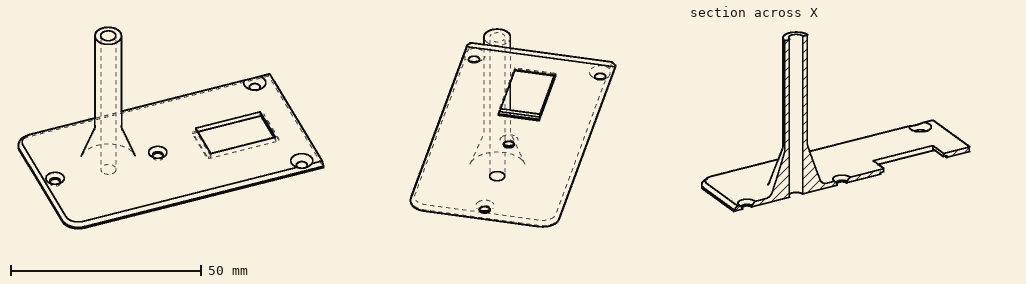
import cadquery as cq

plate_width = 40.0
plate_length = 72.0
plate_thickness = 1.5
edge_chamfer = 1.0
corner_radius = 4.5

window_width = 11.0
window_length = 18.2
window_rear_margin = 8.0
window_lip_thickness = 1.0
window_relief_depth = plate_thickness - window_lip_thickness
window_relief_reach = 1.0

screw_diameter = 2.8
corner_head_diameter = 5.8
corner_hole_x = 17.0
corner_hole_rear_margin = 5.0
centre_head_diameter = 4.8
centre_hole_ys = (4.0, 33.0)

stem_y = 19.0
stem_top = 46.0
stem_diameter = 7.0
bore_diameter = 4.0
foot_base_diameter = 15.75
foot_top = 13.9
foot_blend_radius = 2.0


def make_plate():
    """Flat plate with rounded front corners; every top edge but the rear one is chamfered."""
    plate = cq.Workplane("XY").box(
        plate_width, plate_length, plate_thickness, centered=(True, False, False)
    )
    plate = plate.edges("|Z and <Y").fillet(corner_radius)
    rim = plate.faces(">Z").edges("not >Y")
    return rim.chamfer(edge_chamfer)


def make_stem():
    """Solid of revolution: conical foot blended into the plate and into the straight stem."""
    stem_radius = stem_diameter / 2
    foot_radius = foot_base_diameter / 2
    flange_radius = foot_radius + 2 * foot_blend_radius
    profile = (
        cq.Workplane("XZ")
        .moveTo(0, 0)
        .lineTo(flange_radius, 0)
        .lineTo(flange_radius, plate_thickness)
        .lineTo(foot_radius, plate_thickness)
        .lineTo(stem_radius, foot_top)
        .lineTo(stem_radius, stem_top)
        .lineTo(0, stem_top)
        .close()
    )
    stem = profile.revolve(360, (0, 0, 0), (0, 1, 0))
    outer_margin = foot_blend_radius / 2
    ring_reach = flange_radius - outer_margin
    blended_rings = cq.selectors.BoxSelector(
        (-ring_reach, -ring_reach, plate_thickness / 2),
        (ring_reach, ring_reach, (foot_top + stem_top) / 2),
        boundingbox=True,
    )
    blended = stem.edges(blended_rings).edges("%CIRCLE").fillet(foot_blend_radius)
    return blended.translate((0, stem_y, 0))


def make_countersunk_hole(x, y, head_diameter):
    """Cutter for a through hole with a 90 degree conical seat opening at the top face."""
    screw_radius = screw_diameter / 2
    head_radius = head_diameter / 2
    seat_depth = head_radius - screw_radius
    shank = cq.Workplane("XY").circle(screw_radius).extrude(plate_thickness)
    seat = cq.Solid.makeCone(
        screw_radius,
        head_radius,
        seat_depth,
        pnt=cq.Vector(0, 0, plate_thickness - seat_depth),
    )
    return shank.union(cq.Workplane(seat)).translate((x, y, 0))


def make_window():
    """Cutter for the window, with the plate thinned from below at both of its ends to form snap-in lips."""
    window_y = plate_length - window_rear_margin - window_length / 2
    relief_length = window_length + 2 * window_relief_reach
    sketch_plane = cq.Workplane("XY").center(0, window_y)
    opening = sketch_plane.rect(window_width, window_length).extrude(plate_thickness)
    relief = sketch_plane.rect(window_width, relief_length).extrude(window_relief_depth)
    return opening.union(relief)


def make_bore():
    """Cutter for the bore running through the stem and the plate."""
    return cq.Workplane("XY").center(0, stem_y).circle(bore_diameter / 2).extrude(stem_top)


result = make_plate().union(make_stem()).cut(make_window()).cut(make_bore())

corner_hole_y = plate_length - corner_hole_rear_margin
for hole_x in (-corner_hole_x, corner_hole_x):
    result = result.cut(make_countersunk_hole(hole_x, corner_hole_y, corner_head_diameter))

for hole_y in centre_hole_ys:
    result = result.cut(make_countersunk_hole(0, hole_y, centre_head_diameter))